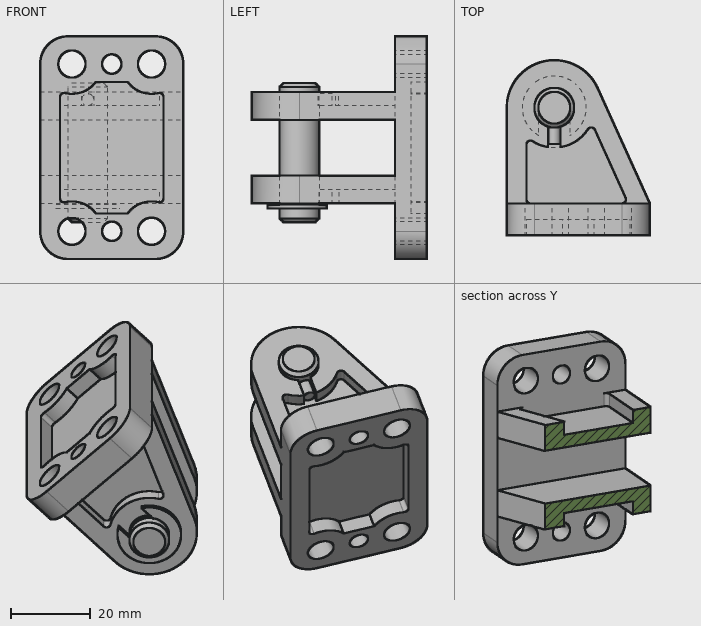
import cadquery as cq
import math

plate_width = 36.0
plate_height = 56.0
plate_thickness = 8.0
plate_corner_radius = 7.0

mount_hole_diameter = 6.8
mount_hole_spacing_x = 20.0
mount_hole_spacing_z = 42.0
middle_hole_diameter = 4.8

recess_width = 26.0
recess_height = 33.0
recess_depth = 4.0
hole_clearance_radius = 7.5
recess_corner_radius = 1.0

arm_tip_radius = 12.0
arm_inner_z = 7.0
arm_outer_z = 14.0
arm_length = 44.0
pivot_x = arm_tip_radius - plate_width / 2
pivot_y = arm_length - arm_tip_radius

arm_wall = 5.0
arm_pocket_depth = 3.5
arm_pocket_floor_z = arm_outer_z - arm_pocket_depth
pivot_boss_radius = 10.0
arm_pocket_corner_radius = 1.0

pin_diameter = 10.0
pin_top_z = 16.25
pin_bottom_z = -18.75
pin_chamfer = 1.0
bar_diameter = 3.0
bar_reach = 9.1
bar_z = arm_pocket_floor_z + bar_diameter / 2
slot_width = 3.2

groove_diameter = 8.0
clip_diameter = 2 * groove_diameter
clip_thickness = 1.0
clip_gap = 0.35
clip_top_z = -arm_outer_z - clip_gap
clip_bottom_z = clip_top_z - clip_thickness


def cylinder_z(diameter, bottom_z, top_z):
    """Upright cylinder on the pivot axis."""
    base = cq.Workplane("XY", origin=(pivot_x, pivot_y, bottom_z))
    return base.circle(diameter / 2).extrude(top_z - bottom_z)


def locking_bar():
    """Horizontal bar from the pivot axis toward the plate, resting on the slot floor."""
    start = cq.Workplane("XZ", origin=(pivot_x, pivot_y, bar_z))
    return start.circle(bar_diameter / 2).extrude(bar_reach)


def mount_corner_cylinders(diameter, depth):
    """Four cylinders on the mounting hole axes, from the outer face of the plate inward."""
    return (
        cq.Workplane("XZ")
        .rect(mount_hole_spacing_x, mount_hole_spacing_z, forConstruction=True)
        .vertices()
        .circle(diameter / 2)
        .extrude(-depth)
    )


def bored_plate():
    plate = (
        cq.Workplane("XZ")
        .rect(plate_width, plate_height)
        .extrude(-plate_thickness)
        .edges("|Y")
        .fillet(plate_corner_radius)
    )
    middle_holes = (
        cq.Workplane("XZ")
        .pushPoints([(0, mount_hole_spacing_z / 2), (0, -mount_hole_spacing_z / 2)])
        .circle(middle_hole_diameter / 2)
        .extrude(-plate_thickness)
    )
    return plate.cut(mount_corner_cylinders(mount_hole_diameter, plate_thickness)).cut(middle_holes)


def plate_recess():
    recess = cq.Workplane("XZ").rect(recess_width, recess_height).extrude(-recess_depth)
    recess = recess.cut(mount_corner_cylinders(2 * hole_clearance_radius, recess_depth))
    return recess.faces("<X or >X").edges("|Y").fillet(recess_corner_radius)


def arm_outline(inset):
    """Closed arm outline, moved inward by inset: round tip, straight left side, slanted right side."""
    tip_radius = arm_tip_radius - inset
    corner_dx = plate_width / 2 - pivot_x
    corner_dy = plate_thickness - pivot_y
    corner_distance = math.hypot(corner_dx, corner_dy)
    normal_angle = math.atan2(corner_dy, corner_dx) + math.acos(arm_tip_radius / corner_distance)
    normal_x = math.cos(normal_angle)
    normal_y = math.sin(normal_angle)
    tangent_point = (pivot_x + tip_radius * normal_x, pivot_y + tip_radius * normal_y)
    slant_end_x = pivot_x + (tip_radius - corner_dy * normal_y) / normal_x
    return (
        cq.Workplane("XY")
        .moveTo(pivot_x - tip_radius, plate_thickness)
        .lineTo(slant_end_x, plate_thickness)
        .lineTo(*tangent_point)
        .threePointArc((pivot_x, pivot_y + tip_radius), (pivot_x - tip_radius, pivot_y))
        .close()
    )


def upper_arm():
    arm = arm_outline(0).extrude(arm_outer_z - arm_inner_z).translate((0, 0, arm_inner_z))
    boss = cylinder_z(2 * pivot_boss_radius, 0, arm_pocket_depth)
    pocket = arm_outline(arm_wall).extrude(arm_pocket_depth).cut(boss)
    pocket = pocket.edges("|Z").fillet(arm_pocket_corner_radius)
    return arm.cut(pocket.translate((0, 0, arm_pocket_floor_z)))


def locking_slot():
    """Flat-bottomed slot from the pin hole to the arm pocket, open upward."""
    return (
        cq.Workplane("XY", origin=(pivot_x, pivot_y - pivot_boss_radius / 2, arm_pocket_floor_z))
        .rect(slot_width, pivot_boss_radius)
        .extrude(arm_pocket_depth)
    )


def make_housing():
    arm = upper_arm()
    housing = bored_plate().cut(plate_recess()).union(arm).union(arm.mirror("XY"))
    pin_hole = cylinder_z(pin_diameter, -arm_outer_z, arm_outer_z)
    return housing.cut(pin_hole).cut(locking_slot())


def make_pin():
    pin = cylinder_z(pin_diameter, pin_bottom_z, pin_top_z).faces("<Z or >Z").chamfer(pin_chamfer)
    groove_core = cylinder_z(groove_diameter, clip_bottom_z, clip_top_z)
    groove = cylinder_z(pin_diameter, clip_bottom_z, clip_top_z).cut(groove_core)
    return pin.union(locking_bar()).cut(groove)


def make_clip():
    """Flat U-shaped clip, open toward the plate so that it slides onto the groove."""
    bore = cylinder_z(groove_diameter, clip_bottom_z, clip_top_z)
    opening = (
        cq.Workplane("XY", origin=(pivot_x, pivot_y - clip_diameter / 2, clip_bottom_z))
        .rect(groove_diameter, clip_diameter)
        .extrude(clip_thickness)
    )
    return cylinder_z(clip_diameter, clip_bottom_z, clip_top_z).cut(bore).cut(opening)


housing = make_housing()
pin = make_pin()
clip = make_clip()
result = cq.Compound.makeCompound([housing.val(), pin.val(), clip.val()])